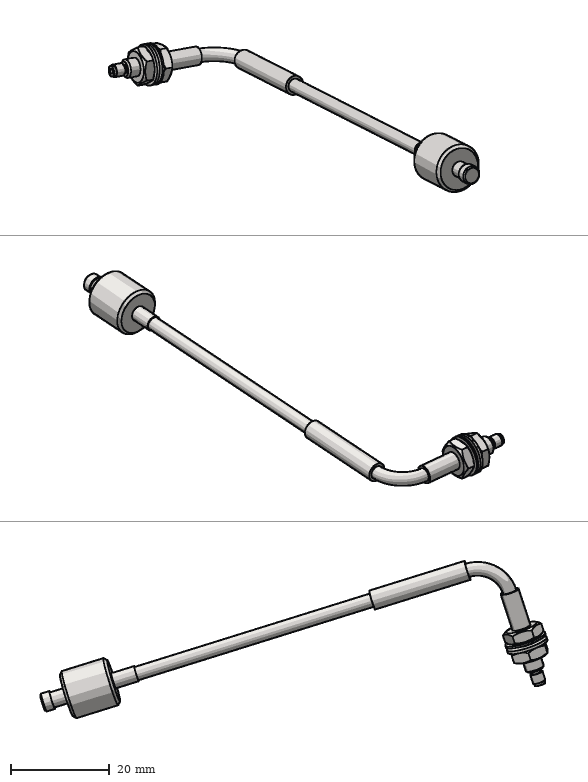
import cadquery as cq
import math


CABLE_RADIUS = 1.4
BEND_RADIUS = 6.8
SLEEVE_RADIUS = 2.0
SLEEVE_LENGTH = 20.2

PLUG_START = 77.1
PLUG_END = 97.0
PLUG_RADIUS = 1.6
COLLAR_RADIUS = 1.9
COLLAR_LENGTH = 2.0
COLLAR_CHAMFER = 0.3

BARREL_START = 81.9
BARREL_RADIUS = 5.01
BARREL_LENGTH = 10.0
BARREL_CHAMFER = 0.6

BUSHING_START = BEND_RADIUS
BUSHING_SHOULDER = 23.9
BUSHING_END = 26.98
BUSHING_RADIUS = 1.9
BUSHING_CHAMFER = 0.4
NECK_RADIUS = 0.9
TIP_START = 24.5
TIP_RADIUS = 1.3
TIP_LENGTH = 1.9
NOSE_RADIUS = 1.1
SOCKET_RADIUS = 0.5
SOCKET_DEPTH = 1.0

NUT_FLATS = 7.1
NUT_LENGTH = 2.5
NUT_FACE_RADIUS = 3.2
NUT_CHAMFER_ANGLE = 30.0
REAR_NUT_START = 14.6
WASHER_RADIUS = 4.3
LOCK_WASHER_THICKNESS = 0.4
FLAT_WASHER_START = 18.1
FLAT_WASHER_THICKNESS = 0.6

LOCK_WASHER_START = REAR_NUT_START + NUT_LENGTH
FRONT_NUT_START = FLAT_WASHER_START + FLAT_WASHER_THICKNESS


def rod_along_x(start, length, radius):
    return cq.Workplane("YZ", origin=(start, 0, 0)).circle(radius).extrude(length)


def rod_along_bushing(start, length, radius):
    return cq.Workplane("XZ", origin=(0, -start, 0)).circle(radius).extrude(length)


def make_cable():
    path = (
        cq.Workplane("XY")
        .moveTo(0, -BUSHING_START)
        .radiusArc((BEND_RADIUS, 0), BEND_RADIUS)
        .lineTo(PLUG_START, 0)
    )
    return cq.Workplane("XZ", origin=(0, -BUSHING_START, 0)).circle(CABLE_RADIUS).sweep(path)


def make_sleeve():
    sleeve = rod_along_x(BEND_RADIUS, SLEEVE_LENGTH, SLEEVE_RADIUS)
    return sleeve.cut(rod_along_x(BEND_RADIUS, SLEEVE_LENGTH, CABLE_RADIUS))


def make_plug():
    collar = rod_along_x(PLUG_END - COLLAR_LENGTH, COLLAR_LENGTH, COLLAR_RADIUS)
    collar = collar.faces(">X").chamfer(COLLAR_CHAMFER)
    return rod_along_x(PLUG_START, PLUG_END - PLUG_START, PLUG_RADIUS).union(collar)


def make_barrel():
    barrel = rod_along_x(BARREL_START, BARREL_LENGTH, BARREL_RADIUS)
    barrel = barrel.faces("<X or >X").chamfer(BARREL_CHAMFER)
    return barrel.cut(rod_along_x(BARREL_START, BARREL_LENGTH, PLUG_RADIUS))


def make_bushing():
    shank = rod_along_bushing(BUSHING_START, BUSHING_SHOULDER - BUSHING_START, BUSHING_RADIUS)
    shank = shank.faces("<Y").chamfer(BUSHING_CHAMFER)
    neck = rod_along_bushing(BUSHING_SHOULDER, TIP_START - BUSHING_SHOULDER, NECK_RADIUS)
    tip = rod_along_bushing(TIP_START, TIP_LENGTH, TIP_RADIUS)
    nose = rod_along_bushing(TIP_START, BUSHING_END - TIP_START, NOSE_RADIUS)
    socket = rod_along_bushing(BUSHING_END - SOCKET_DEPTH, SOCKET_DEPTH, SOCKET_RADIUS)
    return shank.union(neck).union(tip).union(nose).cut(socket)


def make_nut(start, turn):
    """Hexagon nut with both faces chamfered; turn = 0 puts corners on the X axis."""
    corner_radius = NUT_FLATS / 2 / math.cos(math.pi / 6)
    chamfer_depth = (corner_radius - NUT_FACE_RADIUS) * math.tan(math.radians(NUT_CHAMFER_ANGLE))
    hexagon = (
        cq.Workplane("XZ", origin=(0, -start, 0))
        .transformed(rotate=(0, 0, turn))
        .polygon(6, 2 * corner_radius)
        .extrude(NUT_LENGTH)
    )
    envelope = (
        cq.Workplane("XY", origin=(0, -start, 0))
        .polyline([
            (0, 0),
            (NUT_FACE_RADIUS, 0),
            (corner_radius, -chamfer_depth),
            (corner_radius, chamfer_depth - NUT_LENGTH),
            (NUT_FACE_RADIUS, -NUT_LENGTH),
            (0, -NUT_LENGTH),
        ])
        .close()
        .revolve(360, (0, 0, 0), (0, 1, 0))
    )
    return hexagon.intersect(envelope).cut(rod_along_bushing(start, NUT_LENGTH, BUSHING_RADIUS))


def make_washer(start, thickness):
    washer = rod_along_bushing(start, thickness, WASHER_RADIUS)
    return washer.cut(rod_along_bushing(start, thickness, BUSHING_RADIUS))


cable = make_cable()
sleeve = make_sleeve()
plug = make_plug()
barrel = make_barrel()
bushing = make_bushing()
rear_nut = make_nut(REAR_NUT_START, turn=0)
lock_washer = make_washer(LOCK_WASHER_START, LOCK_WASHER_THICKNESS)
flat_washer = make_washer(FLAT_WASHER_START, FLAT_WASHER_THICKNESS)
front_nut = make_nut(FRONT_NUT_START, turn=30)

result = cq.Compound.makeCompound([
    cable.val(),
    sleeve.val(),
    plug.val(),
    barrel.val(),
    bushing.val(),
    rear_nut.val(),
    lock_washer.val(),
    flat_washer.val(),
    front_nut.val(),
])